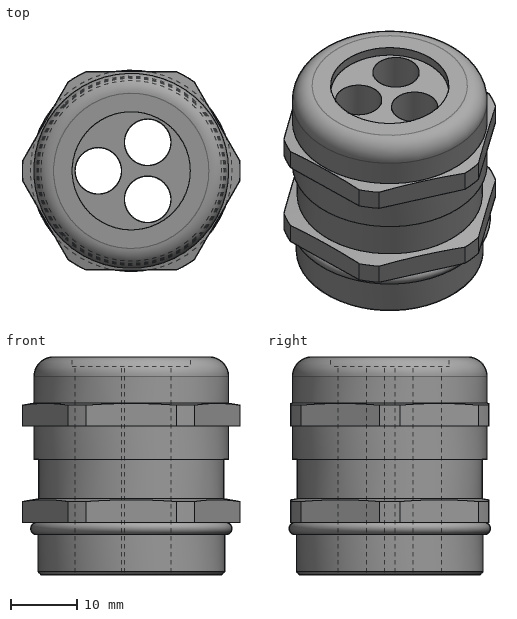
import cadquery as cq
import math

total_height = 33.0

thread_radius = 14.15
thread_chamfer = 0.5

ring_bottom = 6.07
ring_top = 7.92
ring_radius = 15.25

body_radius = 14.02
cap_bottom = 17.5
cap_radius = 14.75
cap_fillet = 3.0

hex_across_flats = 30.0
hex_corner_radius = 16.5
hex_edge_height = 3.17
hex_top_angle = 10.0
cap_hex_bottom = 22.5

recess_radius = 8.95
recess_depth = 1.5
cable_hole_radius = 3.5
cable_circle_radius = 4.98
cable_hole_count = 3


def cylinder(radius, bottom, top):
    return cq.Workplane("XY").workplane(offset=bottom).circle(radius).extrude(top - bottom)


def hex_collar(bottom, shaft_radius):
    """Hexagon with rounded corners and a top that falls conically away from the shaft."""
    edge_height = bottom + hex_edge_height
    cone_rise = (hex_corner_radius - shaft_radius) * math.tan(math.radians(hex_top_angle))
    top = edge_height + cone_rise
    envelope = (
        cq.Workplane("XZ")
        .moveTo(0, bottom)
        .lineTo(hex_corner_radius, bottom)
        .lineTo(hex_corner_radius, edge_height)
        .lineTo(shaft_radius, top)
        .lineTo(0, top)
        .close()
        .revolve(360, (0, 0, 0), (0, 1, 0))
    )
    across_corners = hex_across_flats / math.cos(math.pi / 6)
    hexagon = cq.Workplane("XY").workplane(offset=bottom).polygon(6, across_corners).extrude(top - bottom)
    return envelope.intersect(hexagon)


def sealing_ring():
    rim_radius = (ring_top - ring_bottom) / 2
    rim_center = ring_radius - rim_radius
    return (
        cq.Workplane("XZ")
        .moveTo(0, ring_bottom)
        .lineTo(rim_center, ring_bottom)
        .threePointArc((ring_radius, ring_bottom + rim_radius), (rim_center, ring_top))
        .lineTo(0, ring_top)
        .close()
        .revolve(360, (0, 0, 0), (0, 1, 0))
    )


thread = cylinder(thread_radius, 0, ring_top).faces("<Z").edges().chamfer(thread_chamfer)
body = cylinder(body_radius, ring_top, cap_bottom)
cap = cylinder(cap_radius, cap_bottom, total_height).faces(">Z").edges().fillet(cap_fillet)

gland = (
    thread.union(sealing_ring())
    .union(body)
    .union(cap)
    .union(hex_collar(ring_top, body_radius))
    .union(hex_collar(cap_hex_bottom, cap_radius))
)

recess = cylinder(recess_radius, total_height - recess_depth, total_height)

cable_holes = (
    cq.Workplane("XY")
    .polarArray(cable_circle_radius, 180, 360, cable_hole_count)
    .circle(cable_hole_radius)
    .extrude(total_height)
)

result = gland.cut(recess).cut(cable_holes)